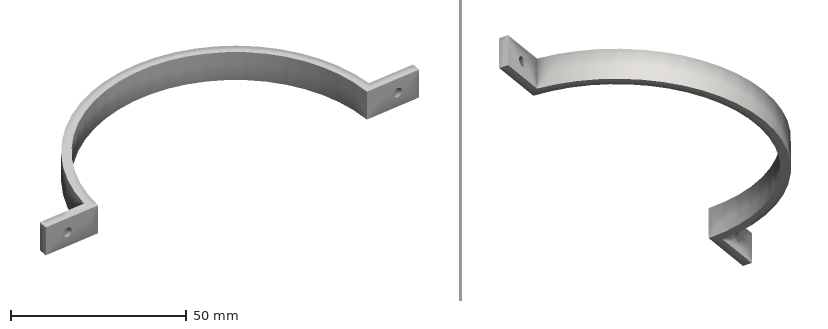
import math

import cadquery as cq

outer_radius = 49.8
strap_thickness = 3.0
strap_width = 10.0
overall_depth = 48.25
overall_length = 130.0
hole_diameter = 3.2
hole_spacing = 115.0

inner_radius = outer_radius - strap_thickness
mating_face_x = overall_depth - outer_radius
flange_back_x = mating_face_x - strap_thickness
flange_tip_y = overall_length / 2

outer_arc_end_y = math.sqrt(outer_radius**2 - flange_back_x**2)
inner_arc_end_y = math.sqrt(inner_radius**2 - mating_face_x**2)


def clamp_band():
    """Half-round strap with a straight flange at each end, extruded along Z."""
    return (
        cq.Workplane("XY")
        .moveTo(flange_back_x, flange_tip_y)
        .lineTo(flange_back_x, outer_arc_end_y)
        .threePointArc((-outer_radius, 0), (flange_back_x, -outer_arc_end_y))
        .lineTo(flange_back_x, -flange_tip_y)
        .lineTo(mating_face_x, -flange_tip_y)
        .lineTo(mating_face_x, -inner_arc_end_y)
        .threePointArc((-inner_radius, 0), (mating_face_x, inner_arc_end_y))
        .lineTo(mating_face_x, flange_tip_y)
        .close()
        .extrude(strap_width)
    )


def flange_holes():
    """Screw holes through both flanges along X."""
    return (
        cq.Workplane("YZ", origin=(flange_back_x, 0, strap_width / 2))
        .pushPoints([(-hole_spacing / 2, 0), (hole_spacing / 2, 0)])
        .circle(hole_diameter / 2)
        .extrude(strap_thickness)
    )


result = clamp_band().cut(flange_holes())